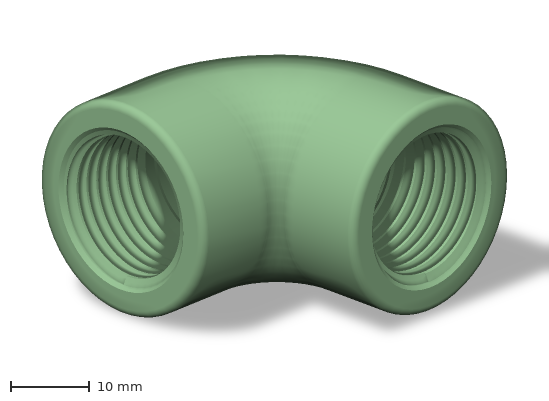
import cadquery as cq
import math

OUTER_RADIUS = 14.5
OVERALL_LENGTH = 42.5
OUTER_BEND_RADIUS = 16.0
END_FILLET = 1.0

THREAD_PITCH = 25.4 / 14
CREST_RADIUS = 9.45
ROOT_RADIUS = 10.5
FLANK_ANGLE = math.radians(27.5)
GROOVE_START_DEPTH = 0.55

BORE_RADIUS = 9.0
BORE_BEND_RADIUS = 12.0
MOUTH_CHAMFER = 0.5

FACE_DISTANCE = OVERALL_LENGTH - OUTER_RADIUS
MOUTH_RADIUS = ROOT_RADIUS + MOUTH_CHAMFER
THREADED_LENGTH = FACE_DISTANCE - BORE_BEND_RADIUS
FLANK_SLOPE = math.tan(FLANK_ANGLE)
FLANK_LENGTH = (ROOT_RADIUS - CREST_RADIUS) * FLANK_SLOPE
ROOT_WIDTH = THREAD_PITCH / 2 - FLANK_LENGTH
GROOVE_OVERLAP = 0.1


def bend(tube_radius, bend_radius):
    """Quarter torus joining the -Y leg to the +X leg."""
    return (
        cq.Workplane("XZ", origin=(0, -bend_radius, 0))
        .circle(tube_radius)
        .revolve(90, (bend_radius, 0, 0), (bend_radius, -1, 0))
    )


def turned_to_x(shape):
    """Copy of a -Y leg feature turned onto the +X leg."""
    return shape.rotate((0, 0, 0), (0, 0, 1), 90)


def outer_leg():
    """Straight -Y leg with a rounded rim."""
    return (
        cq.Workplane("XZ", origin=(0, -OUTER_BEND_RADIUS, 0))
        .circle(OUTER_RADIUS)
        .extrude(FACE_DISTANCE - OUTER_BEND_RADIUS)
        .faces("<Y")
        .edges()
        .fillet(END_FILLET)
    )


def leg_bore():
    """Bore at crest radius, opening through a thread flank and a chamfer at the end face."""
    face_y = -FACE_DISTANCE
    chamfer_end_y = face_y + MOUTH_CHAMFER
    flank_end_y = chamfer_end_y + FLANK_LENGTH
    return (
        cq.Workplane("XY")
        .moveTo(0, face_y)
        .lineTo(MOUTH_RADIUS, face_y)
        .lineTo(ROOT_RADIUS, chamfer_end_y)
        .lineTo(CREST_RADIUS, flank_end_y)
        .lineTo(CREST_RADIUS, -BORE_BEND_RADIUS)
        .lineTo(0, -BORE_BEND_RADIUS)
        .close()
        .revolve(360, (0, 0, 0), (0, 1, 0))
    )


def thread_groove():
    """Right-hand helical groove, starting at the bottom (-Z) of the bore."""
    length = THREADED_LENGTH - GROOVE_START_DEPTH - THREAD_PITCH / 2
    helix = cq.Wire.makeHelix(THREAD_PITCH, length, CREST_RADIUS)
    root_half = ROOT_WIDTH / 2
    inner_half = root_half + FLANK_LENGTH + GROOVE_OVERLAP * FLANK_SLOPE
    inner_radius = CREST_RADIUS - GROOVE_OVERLAP
    groove = (
        cq.Workplane("XZ")
        .moveTo(inner_radius, -inner_half)
        .lineTo(ROOT_RADIUS, -root_half)
        .lineTo(ROOT_RADIUS, root_half)
        .lineTo(inner_radius, inner_half)
        .close()
        .sweep(cq.Workplane(helix), isFrenet=True)
    )
    return (
        groove.rotate((0, 0, 0), (1, 0, 0), -90)
        .rotate((0, 0, 0), (0, 1, 0), 90)
        .translate((0, GROOVE_START_DEPTH - FACE_DISTANCE, 0))
    )


leg = outer_leg()
bore = leg_bore()
groove = thread_groove()

body = bend(OUTER_RADIUS, OUTER_BEND_RADIUS).union(leg).union(turned_to_x(leg))
body = body.cut(bend(BORE_RADIUS, BORE_BEND_RADIUS)).cut(bore).cut(turned_to_x(bore))
result = body.cut(groove).cut(turned_to_x(groove))